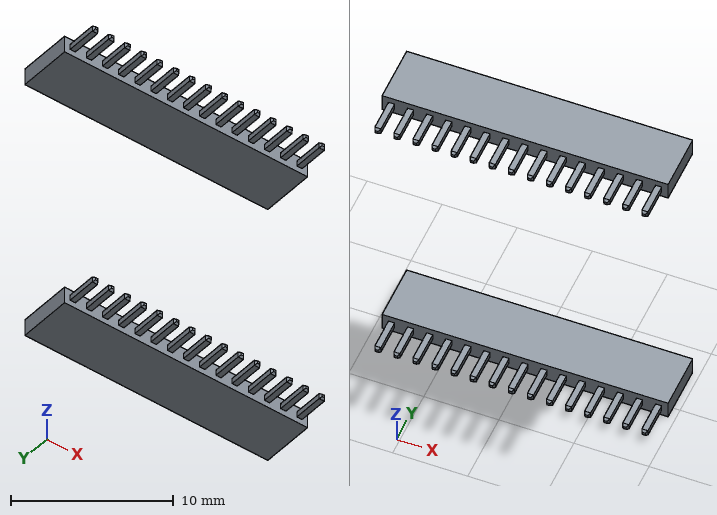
import cadquery as cq

strip_length = 19.05
overall_depth = 6.33
overall_height = 21.6
housing_depth = 3.95
pin_count = 15
pin_width = 0.4
tip_length = 0.17
tip_inset = 0.1

pin_pitch = strip_length / pin_count
housing_height = pin_pitch
pin_length = overall_depth - housing_depth
shank_length = pin_length - tip_length
tip_width = pin_width - 2 * tip_inset
strip_spacing = overall_height - housing_height
housing_front = pin_length - overall_depth / 2


def make_housing():
    """Plain rectangular block centred on X and Z, its pin face at housing_front."""
    return (
        cq.Workplane("XY")
        .box(strip_length, housing_depth, housing_height)
        .translate((0, housing_front + housing_depth / 2, 0))
    )


def make_pin(x):
    """Square pin pointing to -Y from the housing face, ending in a truncated pyramid tip."""
    shank = (
        cq.Workplane("XZ", origin=(x, housing_front, 0))
        .rect(pin_width, pin_width)
        .extrude(shank_length)
    )
    return (
        shank.faces("<Y")
        .workplane()
        .rect(pin_width, pin_width)
        .workplane(offset=tip_length)
        .rect(tip_width, tip_width)
        .loft(combine=True)
    )


def make_header_strip(z):
    """One header strip: housing and its row of pins as a single solid."""
    strip = make_housing()
    for i in range(pin_count):
        strip = strip.union(make_pin((i - (pin_count - 1) / 2) * pin_pitch))
    return strip.translate((0, 0, z))


header_strips = [make_header_strip(side * strip_spacing / 2) for side in (-1, 1)]

result = cq.Compound.makeCompound([strip.solids().val() for strip in header_strips])